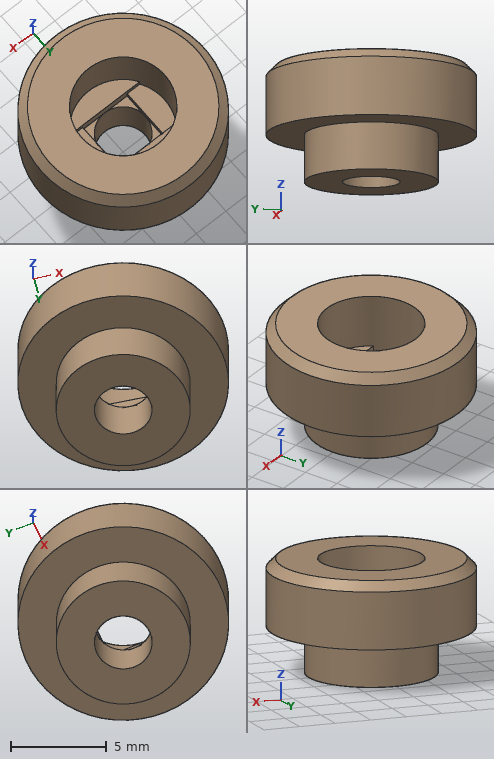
import cadquery as cq

flange_diameter = 11.0
flange_height = 3.61
flange_chamfer = 0.51
boss_diameter = 7.0
boss_height = 2.5
total_height = boss_height + flange_height

recess_diameter = 5.6
recess_depth = 3.0
bore_diameter = 3.0
step_depth = 0.3
recess_floor = total_height - recess_depth
slot_floor = recess_floor - step_depth
square_floor = slot_floor - step_depth


def cylinder(diameter, bottom, top):
    """Upright cylinder on the Z axis between two heights."""
    return cq.Workplane("XY").workplane(offset=bottom).circle(diameter / 2).extrude(top - bottom)


def make_body():
    boss = cylinder(boss_diameter, 0, boss_height)
    flange = cylinder(flange_diameter, boss_height, total_height)
    return boss.union(flange.faces(">Z").edges().chamfer(flange_chamfer))


def make_slot():
    """Slot as wide as the bore, running along X and ending on the recess wall."""
    bar = cq.Workplane("XY").box(
        recess_diameter, bore_diameter, step_depth, centered=(True, True, False)
    )
    return bar.translate((0, 0, slot_floor)).intersect(
        cylinder(recess_diameter, slot_floor, recess_floor)
    )


def make_square():
    """Square pocket around the bore, one step below the slot."""
    block = cq.Workplane("XY").box(
        bore_diameter, bore_diameter, step_depth, centered=(True, True, False)
    )
    return block.translate((0, 0, square_floor))


recess = cylinder(recess_diameter, recess_floor, total_height)
bore = cylinder(bore_diameter, 0, total_height)
result = make_body().cut(recess).cut(make_slot()).cut(make_square()).cut(bore)